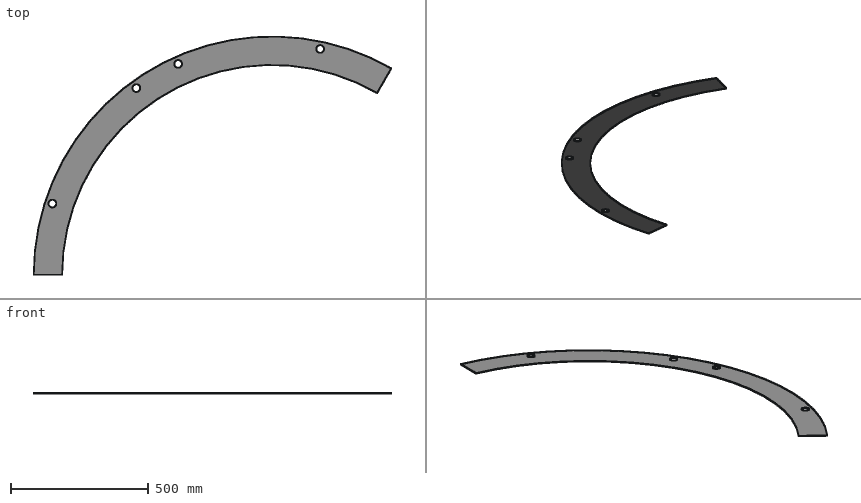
import cadquery as cq
import math

overall_length = 1304.0
band_width = 104.0
thickness = 3.1
hole_diameter = 27.0
hole_edge_distance = 27.0

start_angle = 180.0
end_angle = 60.0
middle_angle = (start_angle + end_angle) / 2

hole_offsets = (6.0, 42.0)

outer_radius = overall_length / (1 + math.cos(math.radians(end_angle)))
inner_radius = outer_radius - band_width
hole_circle_radius = outer_radius - hole_edge_distance


def polar_point(radius, angle):
    """Point at a radius and an angle in degrees about the arc centre."""
    return (
        radius * math.cos(math.radians(angle)),
        radius * math.sin(math.radians(angle)),
    )


def make_band():
    """Flat ring segment with radial ends."""
    return (
        cq.Workplane("XY")
        .moveTo(*polar_point(outer_radius, start_angle))
        .threePointArc(polar_point(outer_radius, middle_angle), polar_point(outer_radius, end_angle))
        .lineTo(*polar_point(inner_radius, end_angle))
        .threePointArc(polar_point(inner_radius, middle_angle), polar_point(inner_radius, start_angle))
        .close()
        .extrude(thickness)
    )


def make_hole_cutters():
    """Cylinders for the through holes near the outer edge."""
    centres = [
        polar_point(hole_circle_radius, middle_angle + side * offset)
        for offset in hole_offsets
        for side in (-1, 1)
    ]
    return cq.Workplane("XY").pushPoints(centres).circle(hole_diameter / 2).extrude(thickness)


result = make_band().cut(make_hole_cutters())